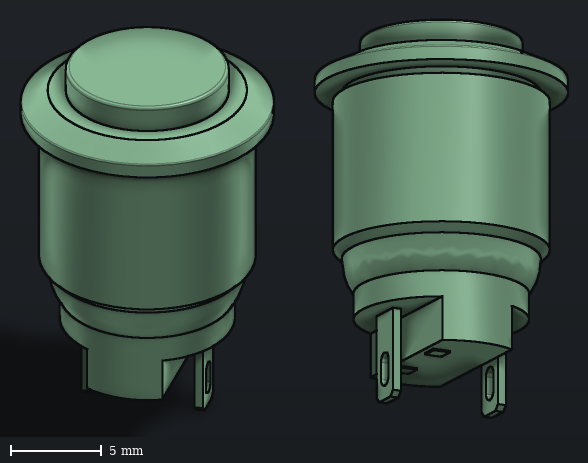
import cadquery as cq
import math


cap_diameter = 9.0
neck_diameter = 11.0
flange_diameter = 14.0
barrel_diameter = 12.0
base_diameter = 9.7

overall_height = 21.0
cap_height = 1.5
flange_height = 1.51
flange_rim_height = 0.8
neck_height = 0.5
barrel_height = 8.5
barrel_chamfer = (barrel_diameter - neck_diameter) / 2
dome_height = 2.0
base_height = 1.5
tongue_height = 2.5

cap_fillet = 0.19
flange_fillet = 0.1

tongue_width = 4.33
pad_size = 1.0
pad_height = 0.08
pad_x = 1.25
pad_y = 2.0
terminal_x = 3.25
terminal_thickness = 0.5
terminal_width = 2.0
terminal_chamfer = 0.32
slot_width = 0.9
slot_length = 1.9
slot_tip_gap = 0.8

flange_top = flange_height
cap_top = flange_top + cap_height
barrel_top = -neck_height
barrel_bottom = barrel_top - barrel_height
dome_top = barrel_bottom - barrel_chamfer
dome_bottom = dome_top - dome_height
base_bottom = dome_bottom - base_height
tongue_bottom = base_bottom - tongue_height
terminal_tip = cap_top - overall_height


def cylinder(diameter, bottom, top):
    return cq.Workplane("XY").workplane(offset=bottom).circle(diameter / 2).extrude(top - bottom)


def make_cap():
    return cylinder(cap_diameter, flange_top, cap_top).faces(">Z").edges().fillet(cap_fillet)


def make_flange():
    """Disc with a conical upper side that rises to a flat ring around the cap."""
    cone_height = flange_height - flange_rim_height
    cone_width = (flange_diameter - neck_diameter) / 2
    disc = cylinder(flange_diameter, 0, flange_top)
    disc = disc.faces(">Z").edges().chamfer(cone_height, cone_width)
    return disc.faces("%CONE").edges("<Z").fillet(flange_fillet)


def make_barrel():
    barrel = cylinder(barrel_diameter, dome_top, barrel_top)
    return barrel.faces("<Z").edges().chamfer(barrel_chamfer)


def make_dome():
    """Bulged shoulder whose arc leaves the barrel parallel to the axis."""
    inset = (neck_diameter - base_diameter) / 2
    arc_radius = (inset**2 + dome_height**2) / (2 * inset)
    middle_depth = dome_height / 2
    middle_radius = neck_diameter / 2 - arc_radius + math.sqrt(arc_radius**2 - middle_depth**2)
    return (
        cq.Workplane("XZ")
        .moveTo(0, dome_top)
        .lineTo(neck_diameter / 2, dome_top)
        .threePointArc((middle_radius, dome_top - middle_depth), (base_diameter / 2, dome_bottom))
        .lineTo(0, dome_bottom)
        .close()
        .revolve()
    )


def make_base():
    """Round base that continues downward as a tongue with two flat sides."""
    tongue_limits = (
        cq.Workplane("XY")
        .workplane(offset=tongue_bottom)
        .rect(tongue_width, base_diameter)
        .extrude(tongue_height)
    )
    tongue = cylinder(base_diameter, tongue_bottom, base_bottom).intersect(tongue_limits)
    return cylinder(base_diameter, base_bottom, dome_bottom).union(tongue)


def make_pads():
    """Two thin raised pads on the end of the tongue."""
    return (
        cq.Workplane("XY")
        .workplane(offset=tongue_bottom)
        .pushPoints([(pad_x, pad_y), (pad_x, -pad_y)])
        .rect(pad_size, pad_size)
        .extrude(-pad_height)
    )


def make_terminal(x):
    """Flat solder tab with a slotted eye and chamfered tip, centred on x."""
    length = base_bottom - terminal_tip
    slot_center = terminal_tip + slot_tip_gap + slot_length / 2
    blade = cq.Workplane("XY").box(terminal_thickness, terminal_width, length, centered=(True, True, False))
    blade = blade.faces("<Z").edges("|X").chamfer(terminal_chamfer)
    slot = (
        cq.Workplane("YZ")
        .center(0, slot_center)
        .slot2D(slot_length, slot_width, 90)
        .extrude(terminal_thickness, both=True)
    )
    return blade.translate((0, 0, terminal_tip)).cut(slot).translate((x, 0, 0))


result = (
    make_cap()
    .union(make_flange())
    .union(cylinder(neck_diameter, barrel_top, 0))
    .union(make_barrel())
    .union(make_dome())
    .union(make_base())
    .union(make_pads())
)
for side in (-1, 1):
    result = result.union(make_terminal(side * terminal_x))